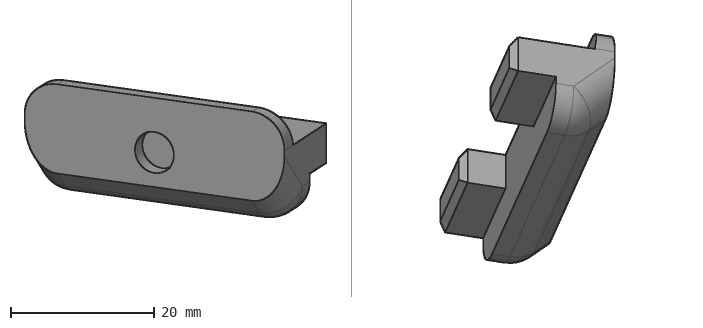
import cadquery as cq
import math

length = 40.0
depth = 15.0
height = 17.0
corner_radius = 5.0

foot_back = 8.5
bend_y = 6.0
bend_angle = 45.0

arm_bottom = 6.1
arm_top = 11.9
arm_gap = 15.3
tip_chamfer = 1.0

lip_top_thickness = 2.15
lip_base_thickness = 2.9

hole_diameter = 6.0
hole_depth = 2.5
hole_z = 9.0

half_length = length / 2
half_flat = half_length - corner_radius
corner_offset = corner_radius * math.sin(math.radians(45))
lip_base = height - corner_radius
lip_taper = (lip_base_thickness - lip_top_thickness) / (height - arm_top)
lip_corner_thickness = lip_top_thickness + lip_taper * corner_radius
bend_rise = bend_y * math.tan(math.radians(bend_angle))


def extrude_side(points):
    """Extrude a (Y, Z) outline over the full length, centred on X = 0."""
    return cq.Workplane("YZ").polyline(points).close().extrude(half_length, both=True)


def rounded_edge(plane):
    """Outline below the plane's X axis, with a quarter round at each end."""
    return (
        cq.Workplane(plane)
        .moveTo(-half_length, 0)
        .threePointArc((-half_flat - corner_offset, -corner_offset), (-half_flat, -corner_radius))
        .lineTo(half_flat, -corner_radius)
        .threePointArc((half_flat + corner_offset, -corner_offset), (half_length, 0))
        .close()
    )


def make_lower_edge():
    """Carry the rounded edge along the foot, around the bend and up to the front face."""
    upright = cq.Plane(origin=(0, bend_y, corner_radius), xDir=(1, 0, 0), normal=(0, -1, 0))
    tilted = upright.rotated((-bend_angle, 0, 0))
    foot = rounded_edge(upright).extrude(bend_y - foot_back)
    bend = rounded_edge(upright).revolve(bend_angle, (0, 0), (-1, 0))
    ramp_length = (bend_y + corner_radius) / math.cos(math.radians(bend_angle))
    ramp = rounded_edge(tilted).extrude(ramp_length)
    behind_front = cq.Workplane("XY").box(length, depth, height, centered=(True, False, False))
    return foot.union(bend).union(ramp.intersect(behind_front))


def make_core():
    """Full-width block above the bend, reaching back to the foot's rear face."""
    return extrude_side([
        (0, corner_radius + bend_rise),
        (bend_y, corner_radius),
        (foot_back, corner_radius),
        (foot_back, arm_top),
        (lip_base_thickness, arm_top),
        (lip_corner_thickness, lip_base),
        (0, lip_base),
    ])


def make_lip():
    """Tapered lip with rounded upper corners."""
    taper = extrude_side([
        (0, lip_base),
        (lip_corner_thickness, lip_base),
        (lip_top_thickness, height),
        (0, height),
    ])
    base_line = cq.Plane(origin=(0, 0, lip_base), xDir=(1, 0, 0), normal=(0, 1, 0))
    return taper.intersect(rounded_edge(base_line).extrude(lip_base_thickness))


def make_arm(side):
    """Arm on one end of the core, chamfered all round its tip."""
    width = (length - arm_gap) / 2
    return (
        cq.Workplane("XY")
        .box(width, depth - bend_y, arm_top - arm_bottom, centered=(True, False, False))
        .translate((side * (half_length - width / 2), bend_y, arm_bottom))
        .faces(">Y")
        .chamfer(tip_chamfer)
    )


body = make_core().union(make_lower_edge()).union(make_lip())
for side in (-1, 1):
    body = body.union(make_arm(side))

hole = cq.Workplane("XZ", origin=(0, 0, hole_z)).circle(hole_diameter / 2).extrude(-hole_depth)
result = body.cut(hole)